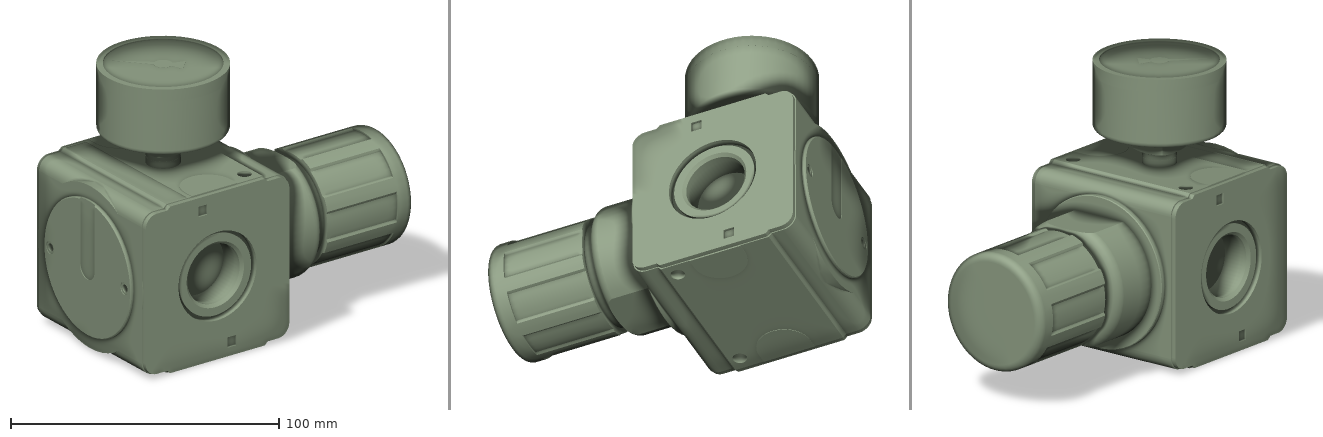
import cadquery as cq
import math


CORE_HALF_LENGTH = 32.5
PLATE_HALF_LENGTH = 34.4
CORE_HALF_DEPTH = 33.5
CORE_STEP_HEIGHT = 33.0
CORE_TOP_HEIGHT = 34.3
CORE_CORNER_RADIUS = 5.2
RAISED_HALF_DEPTH = 23.5
PLATE_INSET = 0.4

FRONT_ROUND_RADIUS = CORE_STEP_HEIGHT
DIAL_DIAMETER = 55.0
DIAL_HEIGHT = 1.5
DIAL_CHAMFER = 0.4
DIAL_FACE_Y = -CORE_HALF_DEPTH - DIAL_HEIGHT
DIAL_SLOT_WIDTH = 9.2
DIAL_SLOT_DEPTH = 0.4
SCREW_X = 23.5
SCREW_HEAD_DIAMETER = 5.0
SCREW_HEAD_DEPTH = 0.3
SCREW_SOCKET_DIAMETER = 3.2
SCREW_SOCKET_DEPTH = 1.5

PAD_RADIUS = 10.5
PAD_TIP_X = 17.7
PAD_HEIGHT = 0.2
LABEL_LENGTH = 64.0
LABEL_Y_MIN = -21.7
LABEL_Y_MAX = -12.3
LABEL_DEPTH = 0.3
MOUNT_HOLE_DIAMETER = 5.5
MOUNT_HOLE_X = 27.0
MOUNT_HOLE_Y = 17.8

PORT_DIAMETER = 24.12
PORT_MOUTH_DIAMETER = 26.44
PORT_BOTTOM_X = 21.6
PORT_RECESS_DIAMETER = 36.0
PORT_RECESS_DEPTH = 1.4
SEAL_GROOVE_INNER_DIAMETER = 33.0
SEAL_GROOVE_DEPTH = 1.6
KEY_SIZE = 4.2
KEY_DEPTH = 1.0
KEY_Y = 6.7
KEY_Z = 28.3

FLANGE_DIAMETER = 59.6
FLANGE_END = 35.8
FLANGE_CHAMFER = 0.3
BONNET_DIAMETER = 50.0
BONNET_ACROSS_FLATS = 44.4
BONNET_END = 56.0
BONNET_RADIUS = 4.0
NECK_DIAMETER = 40.0
KNOB_START = 59.6
KNOB_END = 99.0
KNOB_DIAMETER = 46.0
KNOB_EDGE_RADIUS = 3.0
GRIP_COUNT = 8
GRIP_END = 91.6
GRIP_FLOOR_RADIUS = 22.15
GRIP_FLOOR_WIDTH = 10.3
GRIP_MOUTH_WIDTH = 12.5

GAUGE_DIAMETER = 50.0
GAUGE_BOTTOM = 47.6
GAUGE_TOP = 74.6
GAUGE_EDGE_RADIUS = 2.0
BEZEL_HEIGHT = 4.8
CASE_DIAMETER = 49.96
GLASS_DIAMETER = 45.0
GLASS_DEPTH = 0.5
STEM_SQUARE = 14.0
STEM_SQUARE_BOTTOM = 39.2
STEM_CHAMFER_HEIGHT = 0.8
STEM_NECK_DIAMETER = 13.0
THREAD_DIAMETER = 13.16
THREAD_TOP = 37.1
THREAD_BOTTOM = 26.0
NEEDLE_HEIGHT = 0.1
NEEDLE_HUB_RADIUS = 3.6
NEEDLE_TIP = 20.2
NEEDLE_BASE_WIDTH = 2.7
NEEDLE_TAIL = 7.9
NEEDLE_TAIL_WIDTH = 7.6
NEEDLE_NECK_WIDTH = 2.9
NEEDLE_ANGLE = 225


def cylinder_y(diameter, y_start, y_end):
    """Cylinder about the Y axis."""
    plane = cq.Plane(origin=(0, y_start, 0), xDir=(1, 0, 0), normal=(0, 1, 0))
    return cq.Workplane(plane).circle(diameter / 2).extrude(y_end - y_start)


def cylinder_z(diameter, z_start, z_end):
    """Cylinder about the Z axis."""
    return cq.Workplane("XY", origin=(0, 0, z_start)).circle(diameter / 2).extrude(z_end - z_start)


def block_slab(half_length, inset):
    """Prism along X with rounded corners and a raised middle on top and bottom."""
    depth = CORE_HALF_DEPTH - inset
    low = CORE_STEP_HEIGHT - inset
    high = CORE_TOP_HEIGHT - inset
    slope = high - low
    rounded = (
        cq.Workplane("YZ")
        .rect(2 * depth, 2 * low)
        .extrude(half_length, both=True)
        .edges("|X")
        .fillet(CORE_CORNER_RADIUS)
    )
    foot = RAISED_HALF_DEPTH - inset
    raised = (
        cq.Workplane("YZ")
        .polyline(
            [
                (-foot, -low),
                (slope - foot, -high),
                (foot - slope, -high),
                (foot, -low),
                (foot, low),
                (foot - slope, high),
                (slope - foot, high),
                (-foot, low),
            ]
        )
        .close()
        .extrude(half_length, both=True)
    )
    return rounded.union(raised)


def dial():
    """Round cover on the front face with a pointer slot and two screws."""
    disc = cylinder_y(DIAL_DIAMETER, DIAL_FACE_Y, 0).faces("<Y").chamfer(DIAL_CHAMFER)
    slot = (
        cq.Workplane("XZ", origin=(0, DIAL_FACE_Y + DIAL_SLOT_DEPTH, 0))
        .circle(DIAL_SLOT_WIDTH / 2)
        .extrude(DIAL_HEIGHT)
        .union(
            cq.Workplane("XZ", origin=(0, DIAL_FACE_Y + DIAL_SLOT_DEPTH, 0))
            .center(0, DIAL_DIAMETER / 4)
            .rect(DIAL_SLOT_WIDTH, DIAL_DIAMETER / 2)
            .extrude(DIAL_HEIGHT)
        )
    )
    disc = disc.cut(slot)
    for side in (-1, 1):
        for diameter, depth in (
            (SCREW_HEAD_DIAMETER, SCREW_HEAD_DEPTH),
            (SCREW_SOCKET_DIAMETER, SCREW_SOCKET_DEPTH),
        ):
            hole = cylinder_y(diameter, DIAL_FACE_Y, DIAL_FACE_Y + depth)
            disc = disc.cut(hole.translate((side * SCREW_X, 0, 0)))
    return disc


def pad(side):
    """Round-ended pad standing proud of the top and bottom faces at one end of the core."""
    centre = PAD_TIP_X + PAD_RADIUS
    half_height = CORE_TOP_HEIGHT + PAD_HEIGHT
    return (
        cq.Workplane("XY")
        .moveTo(side * CORE_HALF_LENGTH, -PAD_RADIUS)
        .lineTo(side * centre, -PAD_RADIUS)
        .threePointArc((side * PAD_TIP_X, 0), (side * centre, PAD_RADIUS))
        .lineTo(side * CORE_HALF_LENGTH, PAD_RADIUS)
        .close()
        .extrude(half_height, both=True)
    )


def port_cut():
    """Recess, seal groove and chamfered blind bore of the +X port."""
    floor = PLATE_HALF_LENGTH - PORT_RECESS_DEPTH
    groove_floor = floor - SEAL_GROOVE_DEPTH
    mouth_radius = PORT_MOUTH_DIAMETER / 2
    bore_radius = PORT_DIAMETER / 2
    recess_radius = PORT_RECESS_DIAMETER / 2
    groove_radius = SEAL_GROOVE_INNER_DIAMETER / 2
    profile = [
        (PORT_BOTTOM_X, 0),
        (PORT_BOTTOM_X, bore_radius),
        (floor - (mouth_radius - bore_radius), bore_radius),
        (floor, mouth_radius),
        (floor, groove_radius),
        (groove_floor, groove_radius),
        (groove_floor, recess_radius),
        (PLATE_HALF_LENGTH, recess_radius),
        (PLATE_HALF_LENGTH, 0),
    ]
    return cq.Workplane("XY").polyline(profile).close().revolve(360, (0, 0, 0), (1, 0, 0))


def end_cuts():
    """Port and two square key pockets of the +X end."""
    cuts = port_cut()
    for sign in (-1, 1):
        key = cq.Workplane("XY").box(2 * KEY_DEPTH, KEY_SIZE, KEY_SIZE)
        cuts = cuts.add(key.translate((PLATE_HALF_LENGTH, -sign * KEY_Y, sign * KEY_Z)))
    return cuts.combine()


def bonnet():
    """Flange, bonnet with two flats, and neck below the knob."""
    flange = cylinder_y(FLANGE_DIAMETER, 0, FLANGE_END).faces(">Y").chamfer(FLANGE_CHAMFER)
    dome = cylinder_y(BONNET_DIAMETER, 0, BONNET_END).faces(">Y").edges().fillet(BONNET_RADIUS)
    flats = cq.Workplane("XY").box(BONNET_DIAMETER, 2 * BONNET_END, BONNET_ACROSS_FLATS)
    neck = cylinder_y(NECK_DIAMETER, 0, KNOB_START)
    return flange.union(dome.intersect(flats)).union(neck)


def grip_recess():
    """One shallow recess of the knob, at +Z, with sloping walls and a round floor."""
    half_floor = GRIP_FLOOR_WIDTH / 2
    floor_edge = math.sqrt(GRIP_FLOOR_RADIUS**2 - half_floor**2)
    half_mouth = GRIP_MOUTH_WIDTH / 2
    mouth_edge = math.sqrt((KNOB_DIAMETER / 2) ** 2 - half_mouth**2)
    return (
        cq.Workplane("XZ", origin=(0, GRIP_END, 0))
        .moveTo(-half_floor, floor_edge)
        .threePointArc((0, GRIP_FLOOR_RADIUS), (half_floor, floor_edge))
        .lineTo(half_mouth, mouth_edge)
        .lineTo(half_mouth, KNOB_DIAMETER / 2)
        .lineTo(-half_mouth, KNOB_DIAMETER / 2)
        .lineTo(-half_mouth, mouth_edge)
        .close()
        .extrude(GRIP_END - KNOB_START)
    )


def knob():
    """Knob with a rounded end and grip recesses all round."""
    body = cylinder_y(KNOB_DIAMETER, KNOB_START, KNOB_END).faces(">Y").edges().fillet(KNOB_EDGE_RADIUS)
    for index in range(GRIP_COUNT):
        angle = index * 360 / GRIP_COUNT
        body = body.cut(grip_recess().rotate((0, 0, 0), (0, 1, 0), angle))
    return body


def make_regulator():
    """Block, dial, bonnet and knob as one body, with its ports and the hole for the gauge."""
    body = block_slab(CORE_HALF_LENGTH, 0).union(block_slab(PLATE_HALF_LENGTH, PLATE_INSET))
    body = body.union(cylinder_y(2 * FRONT_ROUND_RADIUS, -CORE_HALF_DEPTH, 0))
    for side in (-1, 1):
        body = body.union(pad(side))
    body = body.union(dial()).union(bonnet()).union(knob())

    label_depth = LABEL_Y_MAX - LABEL_Y_MIN
    label = cq.Workplane("XY").box(LABEL_LENGTH, label_depth, 2 * LABEL_DEPTH)
    body = body.cut(label.translate((0, (LABEL_Y_MIN + LABEL_Y_MAX) / 2, CORE_TOP_HEIGHT)))

    hole_reach = CORE_TOP_HEIGHT + PAD_HEIGHT
    mount_hole = cylinder_z(MOUNT_HOLE_DIAMETER, -hole_reach, hole_reach)
    for side in (-1, 1):
        body = body.cut(mount_hole.translate((side * MOUNT_HOLE_X, MOUNT_HOLE_Y, 0)))

    for angle in (0, 180):
        body = body.cut(end_cuts().rotate((0, 0, 0), (0, 0, 1), angle))

    return body.cut(cylinder_z(THREAD_DIAMETER, THREAD_BOTTOM, THREAD_TOP))


def needle():
    """Gauge needle: a tapered tip, a round hub and a flared tail."""
    base = GAUGE_TOP - GLASS_DEPTH
    plane = cq.Workplane("XY", origin=(0, 0, base))
    half_base = NEEDLE_BASE_WIDTH / 2
    half_neck = NEEDLE_NECK_WIDTH / 2
    half_tail = NEEDLE_TAIL_WIDTH / 2
    hub = plane.circle(NEEDLE_HUB_RADIUS).extrude(NEEDLE_HEIGHT)
    pointer = (
        plane.polyline([(0, -half_base), (NEEDLE_TIP, 0), (0, half_base)])
        .close()
        .extrude(NEEDLE_HEIGHT)
    )
    tail = (
        plane.polyline(
            [
                (0, -half_neck),
                (-NEEDLE_HUB_RADIUS, -half_neck),
                (-NEEDLE_TAIL, -half_tail),
                (-NEEDLE_TAIL, half_tail),
                (-NEEDLE_HUB_RADIUS, half_neck),
                (0, half_neck),
            ]
        )
        .close()
        .extrude(NEEDLE_HEIGHT)
    )
    shape = hub.union(pointer).union(tail)
    return shape.rotate((0, 0, 0), (0, 0, 1), NEEDLE_ANGLE)


def stem():
    """Square wrench section with chamfered corners, then a neck and the threaded end."""
    height = GAUGE_BOTTOM - STEM_SQUARE_BOTTOM
    square = cq.Workplane("XY", origin=(0, 0, STEM_SQUARE_BOTTOM)).rect(STEM_SQUARE, STEM_SQUARE)
    corner_radius = STEM_SQUARE / math.sqrt(2)
    chamfer_cone = (
        cylinder_z(2 * corner_radius, STEM_SQUARE_BOTTOM, GAUGE_BOTTOM)
        .faces("<Z")
        .chamfer(STEM_CHAMFER_HEIGHT, corner_radius - STEM_SQUARE / 2)
    )
    section = square.extrude(height).intersect(chamfer_cone)
    neck = cylinder_z(STEM_NECK_DIAMETER, THREAD_TOP, GAUGE_BOTTOM)
    thread = cylinder_z(THREAD_DIAMETER, THREAD_BOTTOM, THREAD_TOP)
    return section.union(neck).union(thread)


def make_gauge():
    """Round gauge case with a bezel, a sunk face, a needle and its stem."""
    bezel_start = GAUGE_TOP - BEZEL_HEIGHT
    case = cylinder_z(CASE_DIAMETER, GAUGE_BOTTOM, bezel_start)
    case = case.faces("<Z").edges().fillet(GAUGE_EDGE_RADIUS)
    bezel = cylinder_z(GAUGE_DIAMETER, bezel_start, GAUGE_TOP)
    face_recess = cylinder_z(GLASS_DIAMETER, GAUGE_TOP - GLASS_DEPTH, GAUGE_TOP)
    return case.union(bezel).cut(face_recess).union(needle()).union(stem())


regulator = make_regulator()
gauge = make_gauge()

result = cq.Compound.makeCompound([regulator.val(), gauge.val()])